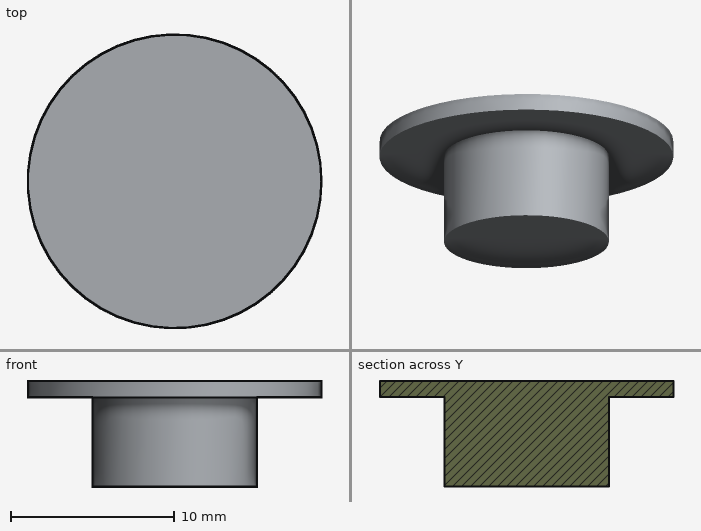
import cadquery as cq

flange_diameter = 18.0
flange_thickness = 1.0
stem_diameter = 10.1
total_height = 6.5

stem_length = total_height - flange_thickness

stem = cq.Workplane("XY").circle(stem_diameter / 2).extrude(stem_length)

flange = (
    cq.Workplane("XY")
    .workplane(offset=stem_length)
    .circle(flange_diameter / 2)
    .extrude(flange_thickness)
)

result = stem.union(flange)